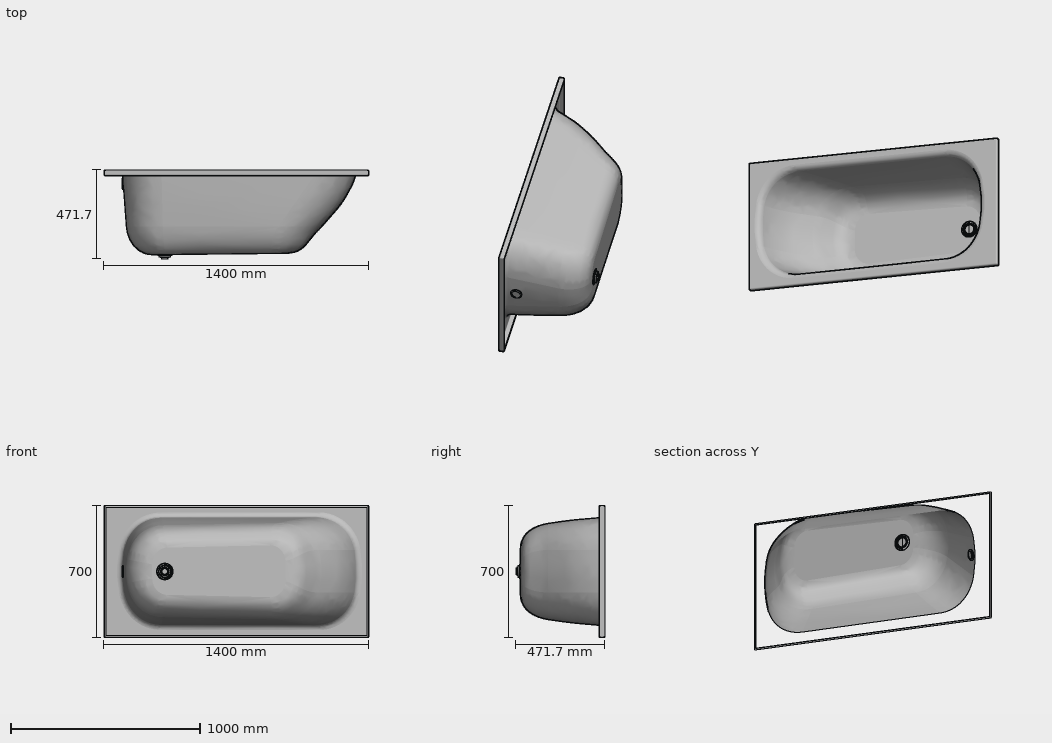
import cadquery as cq
import math

LENGTH = 1400.0
WIDTH = 700.0
OVERALL_DEPTH = 471.7
SHEET = 3.0
RIM_DEPTH = 32.0
RIM_ROUND = 8.0
RIM_LIP = 11.0

FLARE_RADIUS = 25.0
FLARE_DEPTH = SHEET + FLARE_RADIUS
WAIST_DEPTH = 300.0
FLOOR_DEPTH = 444.5
FLOOR_SLOPE = 0.01
ROUND_HANDLE = 0.5523
RAKE_INSET = math.sqrt(2)
FLARE_STEPS = 4
WALL_STEPS = 3
ROUND_STEPS = 6

RIM_OUTLINE = {
    "foot_end": -605, "foot_bow": 9, "foot_flat": 108, "foot_side": -395, "foot_half": 286,
    "head_end": 641, "head_bow": 8, "head_flat": 112, "head_side": 432, "head_half": 287,
}
WAIST_OUTLINE = {
    "foot_end": -583, "foot_bow": 6, "foot_flat": 68, "foot_side": -388, "foot_half": 243,
    "head_end": 452, "head_bow": 15, "head_flat": 112, "head_side": 222, "head_half": 255,
}
FLOOR_OUTLINE = {
    "foot_end": -444, "foot_bow": 0, "foot_flat": 36, "foot_side": -364, "foot_half": 125,
    "head_end": 260, "head_bow": 0, "head_flat": 52, "head_side": 179, "head_half": 137,
}
WALL_BULGE = {"head_end": 56, "head_side": 6, "foot_half": 8, "head_half": 8}

DRAIN_X = -379.0
DRAIN_FLOOR = FLOOR_DEPTH - FLOOR_SLOPE * DRAIN_X
DIMPLE_DIAMETER = 88.0
DIMPLE_END_DIAMETER = 66.0
DIMPLE_DEPTH = 5.0
DRAIN_NECK_DIAMETER = 48.8
DRAIN_NUT_DIAMETER = 61.06
DRAIN_STEPS = [(30.2, 1.0), (34.5, 6.5), (45.0, 3.0)]

OVERFLOW_DEPTH = 73.0
OVERFLOW_END_X = -606.0
OVERFLOW_INNER_X = -592.0
OVERFLOW_BASE_DIAMETER = 61.06
OVERFLOW_END_DIAMETER = 48.8
OVERFLOW_NECK_DIAMETER = 45.0
OVERFLOW_COLLAR = 5.0


def blend(weights, outlines):
    """Weighted sum of outlines, dimension by dimension."""
    return {
        name: sum(weight * outline[name] for weight, outline in zip(weights, outlines))
        for name in RIM_OUTLINE
    }


def offset_outline(outline, offset, head_offset):
    """Widens an outline by `offset`, and by `head_offset` at the head end."""
    moved = dict(outline)
    moved["foot_end"] -= offset
    moved["head_end"] += head_offset
    moved["foot_half"] += offset
    moved["head_half"] += offset
    return moved


def outline_wire(outline, depth, slope=0):
    """Closed wire of an outline, on a plane at `depth` that is tilted along X by `slope`."""
    foot_side, foot_half = outline["foot_side"], outline["foot_half"]
    head_side, head_half = outline["head_side"], outline["head_half"]
    taper = (head_half - foot_half) / (head_side - foot_side)

    def point(x, z):
        return cq.Vector(x, -depth + slope * x, z)

    def end(x, bow, flat):
        return cq.Edge.makeBezier([point(x - bow, -flat), point(x + bow, 0), point(x - bow, flat)])

    def corner(x, bow, flat, side, half, sign):
        """Quarter-ellipse-like corner, tangent to the bowed end and to the side."""
        run = ROUND_HANDLE * (x - bow - side)
        rise = ROUND_HANDLE * (half - flat)
        lean = 2 * bow / flat
        return cq.Edge.makeBezier([
            point(x - bow, sign * flat),
            point(x - bow - lean * rise, sign * (flat + rise)),
            point(side + run, sign * (half + taper * run)),
            point(side, sign * half),
        ])

    def straight_side(sign):
        return cq.Edge.makeLine(point(head_side, sign * head_half), point(foot_side, sign * foot_half))

    head = (outline["head_end"], outline["head_bow"], outline["head_flat"])
    foot = (outline["foot_end"], -outline["foot_bow"], outline["foot_flat"])
    return cq.Wire.assembleEdges([
        end(*head),
        corner(*head, head_side, head_half, 1),
        straight_side(1),
        corner(*foot, foot_side, foot_half, 1),
        end(*foot),
        corner(*foot, foot_side, foot_half, -1),
        straight_side(-1),
        corner(*head, head_side, head_half, -1),
    ])


def basin(inset):
    """Solid basin of three stacked lofts: flare, wall and rounding. Its faces lie `inset` inward."""
    rim = offset_outline(RIM_OUTLINE, -inset, -inset * RAKE_INSET)
    waist = offset_outline(WAIST_OUTLINE, -inset, -inset * RAKE_INSET)
    floor = FLOOR_OUTLINE
    drop = FLOOR_DEPTH - inset - WAIST_DEPTH
    wall = blend((0.5, 0.5), (rim, waist))
    for name, bulge in WALL_BULGE.items():
        wall[name] += bulge

    reach = ROUND_HANDLE * drop / (WAIST_DEPTH / 2)
    shoulder = blend((1 + reach, -reach), (waist, wall))
    heel = blend((ROUND_HANDLE, 1 - ROUND_HANDLE), (waist, floor))

    def wall_outline(depth):
        t = depth / WAIST_DEPTH
        return blend(((1 - t) ** 2, 2 * t * (1 - t), t ** 2), (rim, wall, waist))

    flare_wires = []
    radius = FLARE_RADIUS + inset
    for step in range(FLARE_STEPS + 1):
        angle = math.pi / 2 * step / FLARE_STEPS
        depth = FLARE_DEPTH - radius * math.cos(angle)
        spread = radius * (1 - math.sin(angle))
        flare_wires.append(outline_wire(offset_outline(wall_outline(depth), spread, spread), depth))

    wall_wires = []
    for step in range(WALL_STEPS + 1):
        depth = FLARE_DEPTH + (WAIST_DEPTH - FLARE_DEPTH) * step / WALL_STEPS
        wall_wires.append(outline_wire(wall_outline(depth), depth))

    round_wires = []
    for step in range(ROUND_STEPS + 1):
        t = step / ROUND_STEPS
        weights = ((1 - t) ** 3, 3 * t * (1 - t) ** 2, 3 * t ** 2 * (1 - t), t ** 3)
        outline = blend(weights, (waist, shoulder, heel, floor))
        fall = weights[1] * ROUND_HANDLE + weights[2] + weights[3]
        round_wires.append(outline_wire(outline, WAIST_DEPTH + fall * drop, fall * FLOOR_SLOPE))

    body = cq.Workplane(cq.Solid.makeLoft(flare_wires))
    for wires in (wall_wires, round_wires):
        body = body.union(cq.Workplane(cq.Solid.makeLoft(wires)))
    return body


def block(margin, y_low, y_high):
    """Rectangular block, `margin` inside the rim's outer edge, between two Y planes."""
    size = (LENGTH - 2 * margin, y_high - y_low, WIDTH - 2 * margin)
    return cq.Workplane().box(*size).translate((0, (y_low + y_high) / 2, 0))


def folded_rim():
    """Folded sheet rim: rounded all over, hollow, open at the bottom inside its lip."""
    outside = block(0, -RIM_DEPTH, 0).edges().fillet(RIM_ROUND)
    inside = block(SHEET, SHEET - RIM_DEPTH, -SHEET).edges().fillet(RIM_ROUND - SHEET)
    opening = block(RIM_LIP, -RIM_DEPTH, -RIM_DEPTH / 2)
    return outside.cut(inside).cut(opening)


def cone(base, direction, base_diameter, end_diameter, length):
    return cq.Workplane(cq.Solid.makeCone(
        base_diameter / 2, end_diameter / 2, length, cq.Vector(*base), cq.Vector(*direction)
    ))


def cylinder(base, direction, diameter, length):
    return cq.Workplane(cq.Solid.makeCylinder(
        diameter / 2, length, cq.Vector(*base), cq.Vector(*direction)
    ))


def dimple(inset):
    """Solid cone of the dimple around the drain, with its faces moved inward by `inset`."""
    return cone(
        (DRAIN_X, inset - DRAIN_FLOOR, 0), (0, -1, 0),
        DIMPLE_DIAMETER - 2 * inset, DIMPLE_END_DIAMETER - 2 * inset, DIMPLE_DEPTH,
    )


def drain_neck():
    """Neck that fills the hole in the bottom of the dimple."""
    base = (DRAIN_X, -DRAIN_FLOOR - DIMPLE_DEPTH, 0)
    return cylinder(base, (0, 1, 0), DRAIN_NECK_DIAMETER, SHEET)


def overflow_neck():
    """Neck that fills the hole in the foot wall."""
    base = (OVERFLOW_END_X, -OVERFLOW_DEPTH, 0)
    return cylinder(base, (1, 0, 0), OVERFLOW_NECK_DIAMETER, OVERFLOW_INNER_X - OVERFLOW_END_X)


def make_tub():
    outside = folded_rim().union(basin(0)).union(dimple(0))
    shell = outside.cut(basin(SHEET)).cut(dimple(SHEET))
    return shell.cut(drain_neck()).cut(overflow_neck())


def make_drain():
    """Neck, nut against the dimple, and steps down to the free end."""
    body = drain_neck()
    y = -OVERALL_DEPTH
    for diameter, length in DRAIN_STEPS:
        body = body.union(cylinder((DRAIN_X, y, 0), (0, 1, 0), diameter, length))
        y += length
    nut_length = -DRAIN_FLOOR - DIMPLE_DEPTH - y
    return body.union(cylinder((DRAIN_X, y, 0), (0, 1, 0), DRAIN_NUT_DIAMETER, nut_length))


def make_overflow():
    """Conical collar on a round base that follows the foot wall, with the neck through the wall."""
    end = (OVERFLOW_END_X, -OVERFLOW_DEPTH, 0)
    collar = cone(end, (1, 0, 0), OVERFLOW_END_DIAMETER, OVERFLOW_BASE_DIAMETER, OVERFLOW_COLLAR)
    base_start = (OVERFLOW_END_X + OVERFLOW_COLLAR, -OVERFLOW_DEPTH, 0)
    base_length = OVERFLOW_INNER_X - base_start[0]
    base = cylinder(base_start, (1, 0, 0), OVERFLOW_BASE_DIAMETER, base_length)
    return collar.union(base).cut(basin(0)).union(overflow_neck())


tub = make_tub()
drain = make_drain()
overflow = make_overflow()
result = cq.Compound.makeCompound([
    tub.solids().val(),
    drain.solids().val(),
    overflow.solids().val(),
])